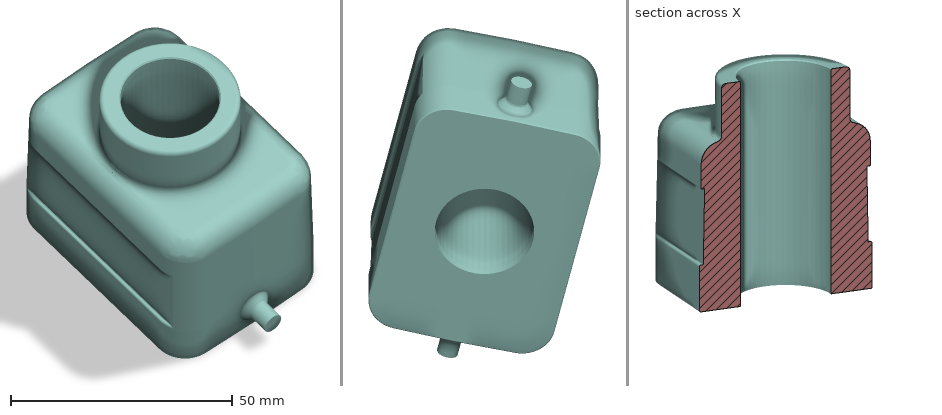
import cadquery as cq
import math

foot_length = 59.9
foot_width = 43.0
foot_height = 10.0
body_height = 40.0
draft_angle = 1.0
corner_radius = 7.5
top_edge_radius = 5.05
foot_edge_chamfer = 0.3

collar_diameter = 32.0
collar_top = 53.5
collar_rim_radius = 1.0
collar_base_radius = 1.0
bore_diameter = 22.5
bore_lip_chamfer = 0.3
bore_lip_angle = 45

recess_bottom = 11.25
recess_top = 29.1
recess_depth = 0.95
lower_lip_radius = 0.5
upper_lip_radius = 0.4
cut_margin = 3.65

pin_diameter = 4.8
pin_span = 73.0
pin_height = 6.2
pin_root_embed = 0.7
pin_neck_step = 0.15
pin_neck_position = 31.45
pin_neck_length = 0.4

draft_slope = math.tan(math.radians(draft_angle))


def make_body():
    """Drafted walls with rounded corners, standing on a foot of the same outline."""
    ridge_x = foot_length / 2
    corner_x = ridge_x - foot_width / 2 * draft_slope
    corner_y = foot_width / 2
    walls = (
        cq.Workplane("XY", origin=(0, 0, foot_height))
        .moveTo(ridge_x, 0)
        .lineTo(corner_x, corner_y)
        .lineTo(-corner_x, corner_y)
        .lineTo(-ridge_x, 0)
        .lineTo(-corner_x, -corner_y)
        .lineTo(corner_x, -corner_y)
        .close()
        .extrude(body_height - foot_height, taper=draft_angle)
    )
    corner_edges = cq.Workplane("XY")
    for x in (-corner_x, corner_x):
        for y in (-corner_y, corner_y):
            corner = (x, y, (foot_height + body_height) / 2)
            corner_edges = corner_edges.add(walls.edges(cq.NearestToPointSelector(corner)))
    walls = walls.newObject(corner_edges.vals()).fillet(corner_radius)
    walls = walls.faces(">Z").edges().fillet(top_edge_radius)
    foot_section = walls.faces("<Z").val()
    foot = cq.Workplane(cq.Solid.extrudeLinear(foot_section, cq.Vector(0, 0, -foot_height)))
    foot = foot.faces("<Z").edges().chamfer(foot_edge_chamfer)
    return foot.union(walls)


def cut_label_recess(body, side):
    """Cut a recess whose floor runs parallel to the drafted wall; side is -1 or 1 along Y."""

    def floor_y(z):
        return side * (foot_width / 2 - recess_depth - (z - foot_height) * draft_slope)

    outside_y = side * (foot_width / 2 + cut_margin)
    cutter = (
        cq.Workplane("YZ")
        .polyline([
            (floor_y(recess_bottom), recess_bottom),
            (floor_y(recess_top), recess_top),
            (outside_y, recess_top),
            (outside_y, recess_bottom),
        ])
        .close()
        .extrude(foot_length / 2, both=True)
    )
    return body.cut(cutter)


def round_recess_lips(body, z, radius):
    """Round the outer edges at height z on both long sides."""
    wall_y = foot_width / 2 - (z - foot_height) * draft_slope
    lip_edges = cq.Workplane("XY")
    for side in (-1, 1):
        lip_edges = lip_edges.add(body.edges(cq.NearestToPointSelector((0, side * wall_y, z))))
    return body.newObject(lip_edges.vals()).fillet(radius)


def make_collar():
    """Collar with a rounded rim and a concave flare where it meets the body."""
    radius = collar_diameter / 2
    diagonal = math.cos(math.radians(45))
    flare_centre_x = radius + collar_base_radius
    flare_centre_z = body_height + collar_base_radius
    rim_centre_x = radius - collar_rim_radius
    rim_centre_z = collar_top - collar_rim_radius
    root_z = body_height - top_edge_radius / 2
    return (
        cq.Workplane("XZ")
        .moveTo(0, root_z)
        .lineTo(radius, root_z)
        .lineTo(flare_centre_x, body_height)
        .threePointArc(
            (flare_centre_x - collar_base_radius * diagonal, flare_centre_z - collar_base_radius * diagonal),
            (radius, flare_centre_z),
        )
        .lineTo(radius, rim_centre_z)
        .threePointArc(
            (rim_centre_x + collar_rim_radius * diagonal, rim_centre_z + collar_rim_radius * diagonal),
            (rim_centre_x, collar_top),
        )
        .lineTo(0, collar_top)
        .close()
        .revolve(360, (0, 0, 0), (0, 1, 0))
    )


def make_pin(side):
    """Locking pin on a conical root; side is -1 or 1 along X."""
    root_x = side * (foot_length / 2 - pin_root_embed)
    neck_x = side * pin_neck_position
    tip_x = side * pin_span / 2
    pin_radius = pin_diameter / 2
    neck_radius = pin_radius + pin_neck_step
    root_radius = neck_radius + abs(neck_x - root_x)
    return (
        cq.Workplane("XY")
        .moveTo(root_x, 0)
        .lineTo(root_x, root_radius)
        .lineTo(neck_x, neck_radius)
        .lineTo(neck_x + side * pin_neck_length, pin_radius)
        .lineTo(tip_x, pin_radius)
        .lineTo(tip_x, 0)
        .close()
        .revolve(360, (0, 0, 0), (1, 0, 0))
        .translate((0, 0, pin_height))
    )


def cut_bore(body):
    bore_radius = bore_diameter / 2
    bore = cq.Workplane("XY").circle(bore_radius).extrude(collar_top)
    lip = (
        cq.Workplane("XY", origin=(0, 0, collar_top))
        .circle(bore_radius + bore_lip_chamfer)
        .extrude(-bore_lip_chamfer, taper=bore_lip_angle)
    )
    return body.cut(bore).cut(lip)


hood = make_body()
for side in (-1, 1):
    hood = cut_label_recess(hood, side)
hood = round_recess_lips(hood, recess_bottom, lower_lip_radius)
hood = round_recess_lips(hood, recess_top, upper_lip_radius)
hood = hood.union(make_collar())
for side in (-1, 1):
    hood = hood.union(make_pin(side))
result = cut_bore(hood)